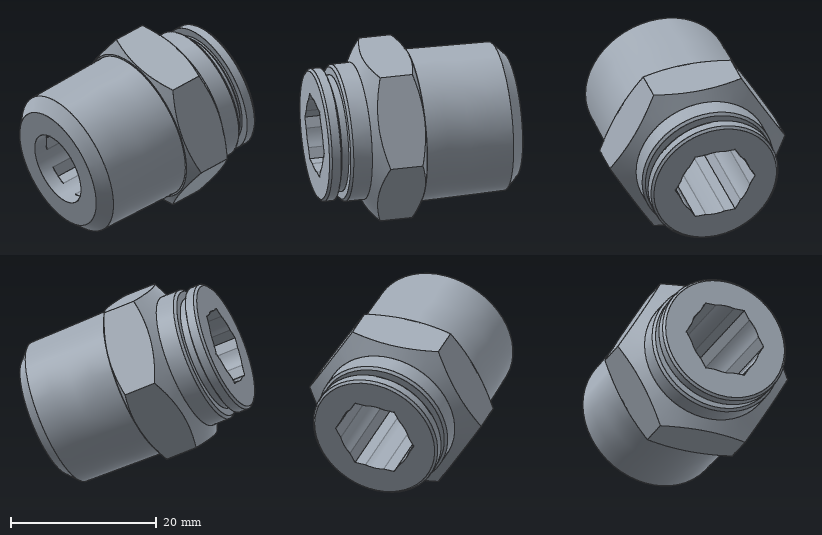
import cadquery as cq
import math

length = 27.4
thread_end = -length / 2
tube_end = length / 2
hex_start = 0.3
collar_start = 7.78
collar_end = 10.77
neck_end = 11.92
flange_start = 12.1

thread_tip_radius = 8.6
thread_small_radius = 10.3
thread_large_radius = 10.55
hex_chamfer_radius = 10.82
collar_radius = 9.5
neck_radius = 8.08
flange_radius = 9.2

thread_chamfer = thread_small_radius - thread_tip_radius
collar_chamfer = 0.35
neck_chamfer = 0.2
flange_chamfer = 0.33
hex_chamfer_slope = math.tan(math.radians(30))

across_flats = 22.0
corner_radius = across_flats / math.sqrt(3)
hex_clearance_radius = corner_radius + 0.27

bore_radius = 5.18
key_across_flats = 10.0
key_setback = 2.0


def hex_prism(flats, start, end):
    """Hexagonal prism along Y, with corners on the X axis."""
    corner_diameter = 2 * flats / math.sqrt(3)
    return cq.Workplane("XZ", origin=(0, start, 0)).polygon(6, corner_diameter).extrude(start - end)


def turned(outline):
    """Revolve a closed (radius, Y) outline about the Y axis."""
    return cq.Workplane("XY").polyline(outline).close().revolve(360, (0, 0, 0), (0, 1, 0))


def make_nut():
    """Outer hexagon with both ends turned to 30 degree cones."""
    front_rise = (hex_clearance_radius - hex_chamfer_radius) * hex_chamfer_slope
    back_drop = (hex_clearance_radius - collar_radius) * hex_chamfer_slope
    envelope = turned([
        (0, hex_start),
        (hex_chamfer_radius, hex_start),
        (hex_clearance_radius, hex_start + front_rise),
        (hex_clearance_radius, collar_start - back_drop),
        (collar_radius, collar_start),
        (0, collar_start),
    ])
    return hex_prism(across_flats, hex_start, collar_start).intersect(envelope)


def make_thread():
    """Tapered thread body with a chamfered tip."""
    return turned([
        (0, thread_end),
        (thread_tip_radius, thread_end),
        (thread_small_radius, thread_end + thread_chamfer),
        (thread_large_radius, hex_start),
        (0, hex_start),
    ])


def make_tube_side():
    """Collar, neck and release flange, with a V groove between the last two."""
    return turned([
        (0, collar_start),
        (collar_radius, collar_start),
        (collar_radius, collar_end - collar_chamfer),
        (collar_radius - collar_chamfer, collar_end),
        (neck_radius, collar_end),
        (neck_radius, neck_end - neck_chamfer),
        (neck_radius - neck_chamfer, neck_end),
        (neck_radius, flange_start),
        (flange_radius, flange_start),
        (flange_radius, tube_end - flange_chamfer),
        (flange_radius - flange_chamfer, tube_end),
        (0, tube_end),
    ])


body = make_nut().union(make_thread()).union(make_tube_side())
bore = cq.Workplane("XZ", origin=(0, thread_end, 0)).circle(bore_radius).extrude(-length)
key_socket = hex_prism(key_across_flats, thread_end + key_setback, tube_end)

result = body.cut(bore).cut(key_socket)